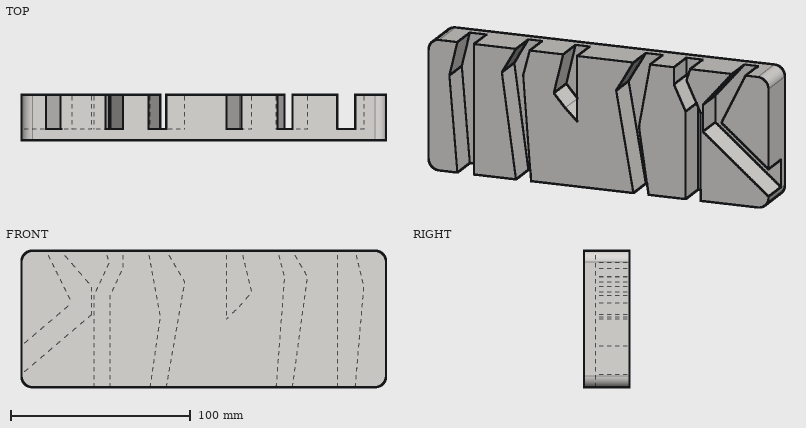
import cadquery as cq
import math

LENGTH = 203.2
THICKNESS = 25.4
HEIGHT = 76.2
CORNER_RADIUS = 6.35
GROOVE_DEPTH = 19.05


A_TOP_LEFT = 13.7
A_TOP_RIGHT = 21.8
A_LEFT_LEAN = 26.35
A_RIGHT_LEAN = 41.0
A_RIGHT_DROP = 20.0
A_SIDE_BOTTOM = 7.2
A_SIDE_TOP = 23.1
A_SIDE_RISE = 40.45

B_TOP_LEFT = 46.8
B_TOP_RIGHT = 56.5
B_LEFT_LEAN = 18.1
B_LEFT_KNEE_X = 49.0
B_RIGHT_DROP = 10.0
B_DIAGONAL_LEAN = 25.0
B_LOWER_RIGHT = 49.5

LOWER_WIDTH = 9.0

C_TOP_LEFT = 70.7
C_TOP_RIGHT = 80.7
C_LEFT_LEAN = 10.25
C_LEFT_KNEE_X = 77.4
C_RIGHT_LEAN = 30.5
C_RIGHT_DROP = 17.5

E_TOP_LEFT = 142.7
E_TOP_RIGHT = 150.9
E_LEFT_LEAN = 14.7
E_LEFT_KNEE_X = 146.6
E_RIGHT_LEAN = 30.0
E_RIGHT_DROP = 14.6

F_TOP_LEFT = 176.0
F_TOP_RIGHT = 185.9
F_RIGHT_LEAN = 13.5
F_RIGHT_DROP = 20.0

D_TOP_LEFT = 114.3
D_TOP_RIGHT = 122.7
D_RIGHT_LEAN = 13.5
D_FLOOR_LOW = HEIGHT / 2
D_FLOOR_RISE = 44.2
D_FLOOR_KNEE_X = 121.5
D_FLOOR_END_RISE = 49.3


def tan(angle):
    return math.tan(math.radians(angle))


def below(start_x, lean, drop):
    """Point reached from the top edge by a wall leaning right as it goes down."""
    return (start_x + drop * tan(lean), HEIGHT - drop)


def at_x(start_x, lean, x):
    """Point where a wall leaning right from the top edge reaches x."""
    return (x, HEIGHT - (x - start_x) / tan(lean))


def block():
    body = cq.Workplane("XZ").rect(LENGTH, HEIGHT).extrude(-THICKNESS)
    body = body.translate((LENGTH / 2, 0, HEIGHT / 2))
    return body.edges("|Y").fillet(CORNER_RADIUS)


def groove(points):
    floor_y = THICKNESS - GROOVE_DEPTH
    return cq.Workplane("XZ", origin=(0, floor_y, 0)).polyline(points).close().extrude(-GROOVE_DEPTH)


def groove_a():
    rise = tan(A_SIDE_RISE)
    steepness = 1 / tan(A_LEFT_LEAN)
    corner_x = (HEIGHT - A_SIDE_TOP + A_TOP_LEFT * steepness) / (rise + steepness)
    right_knee = below(A_TOP_RIGHT, A_RIGHT_LEAN, A_RIGHT_DROP)
    return groove([
        (A_TOP_LEFT, HEIGHT),
        (corner_x, A_SIDE_TOP + corner_x * rise),
        (0, A_SIDE_TOP),
        (0, A_SIDE_BOTTOM),
        (right_knee[0], A_SIDE_BOTTOM + right_knee[0] * rise),
        right_knee,
        (A_TOP_RIGHT, HEIGHT),
    ])


def groove_b():
    left_knee = at_x(B_TOP_LEFT, B_LEFT_LEAN, B_LEFT_KNEE_X)
    right_knee_z = HEIGHT - B_RIGHT_DROP
    lower_left = B_LOWER_RIGHT - LOWER_WIDTH
    steepness = 1 / tan(B_DIAGONAL_LEAN)
    return groove([
        (B_TOP_LEFT, HEIGHT),
        left_knee,
        (lower_left, left_knee[1] - (B_LEFT_KNEE_X - lower_left) * steepness),
        (lower_left, 0),
        (B_LOWER_RIGHT, 0),
        (B_LOWER_RIGHT, right_knee_z - (B_TOP_RIGHT - B_LOWER_RIGHT) * steepness),
        (B_TOP_RIGHT, right_knee_z),
        (B_TOP_RIGHT, HEIGHT),
    ])


def kneed_groove(top_left, left_knee, right_knee, top_right):
    """Groove with a knee in each wall, its right wall ending straight below its top."""
    return groove([
        (top_left, HEIGHT),
        left_knee,
        (top_right - LOWER_WIDTH, 0),
        (top_right, 0),
        right_knee,
        (top_right, HEIGHT),
    ])


def groove_c():
    left_knee = at_x(C_TOP_LEFT, C_LEFT_LEAN, C_LEFT_KNEE_X)
    right_knee = below(C_TOP_RIGHT, C_RIGHT_LEAN, C_RIGHT_DROP)
    return kneed_groove(C_TOP_LEFT, left_knee, right_knee, C_TOP_RIGHT)


def groove_d():
    knee_z = D_FLOOR_LOW + (D_FLOOR_KNEE_X - D_TOP_LEFT) * tan(D_FLOOR_RISE)
    steepness = 1 / tan(D_RIGHT_LEAN)
    end_rise = tan(D_FLOOR_END_RISE)
    end_x = D_FLOOR_KNEE_X + (HEIGHT - knee_z + (D_TOP_RIGHT - D_FLOOR_KNEE_X) * steepness) / (
        steepness + end_rise
    )
    return groove([
        (D_TOP_LEFT, HEIGHT),
        (D_TOP_LEFT, D_FLOOR_LOW),
        (D_FLOOR_KNEE_X, knee_z),
        (end_x, knee_z + (end_x - D_FLOOR_KNEE_X) * end_rise),
        (D_TOP_RIGHT, HEIGHT),
    ])


def groove_e():
    left_knee = at_x(E_TOP_LEFT, E_LEFT_LEAN, E_LEFT_KNEE_X)
    right_knee = below(E_TOP_RIGHT, E_RIGHT_LEAN, E_RIGHT_DROP)
    return kneed_groove(E_TOP_LEFT, left_knee, right_knee, E_TOP_RIGHT)


def groove_f():
    return groove([
        (F_TOP_LEFT, HEIGHT),
        (F_TOP_LEFT, 0),
        (F_TOP_RIGHT, 0),
        below(F_TOP_RIGHT, F_RIGHT_LEAN, F_RIGHT_DROP),
        (F_TOP_RIGHT, HEIGHT),
    ])


result = block()
for make_groove in (groove_a, groove_b, groove_c, groove_d, groove_e, groove_f):
    result = result.cut(make_groove())